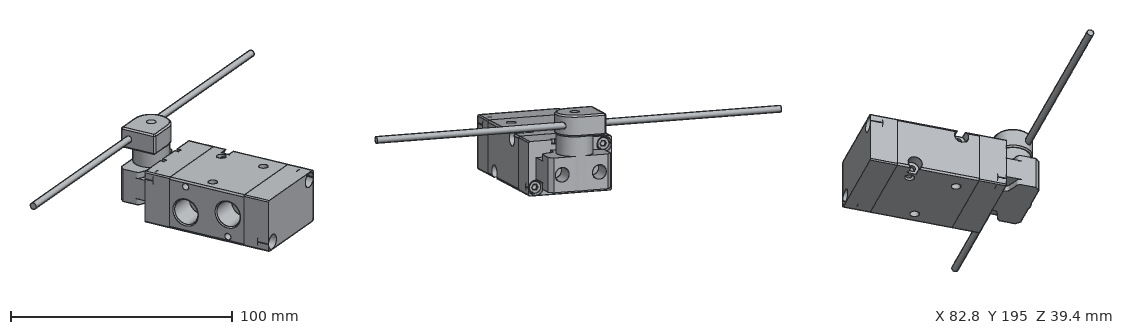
import cadquery as cq
import math


VALVE_WIDTH = 40.0
VALVE_HEIGHT = 25.2
VALVE_CENTER_Y = -1.4
CAP_LENGTH = 12.9
BLOCK_LENGTH = 38.8
EDGE_CHAMFER_WIDTH = 0.5
CAP_CHAMFER_HEIGHT = 0.5
BLOCK_CHAMFER_HEIGHT = 1.0

VALVE_LENGTH = 2 * CAP_LENGTH + BLOCK_LENGTH
BLOCK_END_X = CAP_LENGTH + BLOCK_LENGTH
BLOCK_CENTER_X = VALVE_LENGTH / 2
VALVE_FRONT_Y = VALVE_CENTER_Y - VALVE_WIDTH / 2
VALVE_BACK_Y = VALVE_CENTER_Y + VALVE_WIDTH / 2

HOLE_PITCH = 22.0
LEFT_HOLE_X = BLOCK_CENTER_X - HOLE_PITCH / 2
RIGHT_HOLE_X = BLOCK_CENTER_X + HOLE_PITCH / 2
PORT_RADIUS = 6.0
PORT_CHAMFER = 0.5
PORT_DEPTH = 13.6
LEFT_PORT_Z = 9.8
RIGHT_PORT_Z = 13.6
CROSS_HOLE_RADIUS = 1.5
CROSS_HOLE_INSET = 2.7
CROSS_COUNTERBORE_RADIUS = 3.3
CROSS_COUNTERBORE_DEPTH = 4.7
VERTICAL_HOLE_RADIUS = 2.1
PAIRED_HOLE_Y = 10.5
SINGLE_HOLE_Y = -15.8

COUNTERBORE_RADIUS = 3.5
COUNTERBORE_BREAKOUT = 0.002
SCREW_INSET_Z = 3.7
LEFT_COUNTERBORE_DEPTH = 4.0
RIGHT_COUNTERBORE_DEPTH = 5.8
SCREW_HEAD_RADIUS = 2.7
SCREW_HEAD_HEIGHT = 3.0
SCREW_SHANK_RADIUS = 1.5
SCREW_BLOCK_DEPTH = 4.9
SOCKET_WIDTH = 2.5
SOCKET_DEPTH = 1.2
SOCKET_CONE_ANGLE = 118
NOTCH_SIZE = 2.0
NOTCH_Y = 6.5

SCREW_INSET_Y = COUNTERBORE_RADIUS - COUNTERBORE_BREAKOUT

SPINDLE_X = -9.2
SPINDLE_RADIUS = 2.1
BARREL_RADIUS = 8.4
HEAD_WIDTH = 30.0
HEAD_HEIGHT = 16.0
HEAD_BOTTOM_Z = 4.5
HEAD_FACE_X = -17.2
HEAD_CORNER_CHAMFER = 2.0
HEAD_HOLE_RADIUS = 3.3
HEAD_HOLE_DEPTH = 9.8
HEAD_HOLE_Y = 9.0
STEP_DEPTH = 3.0
STEP_OUTER_X = -7.0
STEP_INNER_X = -4.0
STEP_INNER_Y = 8.0
STEP_FILLET = 2.0

HEAD_TOP_Z = HEAD_BOTTOM_Z + HEAD_HEIGHT
HEAD_MID_Z = HEAD_BOTTOM_Z + HEAD_HEIGHT / 2

OVERALL_HEIGHT = 39.4
CLAMP_HEIGHT = 10.0
CLAMP_RADIUS = 9.0
CLAMP_FRONT_Y = -12.0
CLAMP_CHAMFER = 0.8
ROD_RADIUS = 1.5
ROD_LENGTH = 195.0
ROD_OFFSET = 4.7

CLAMP_BOTTOM_Z = OVERALL_HEIGHT - CLAMP_HEIGHT
ROD_X = SPINDLE_X - ROD_OFFSET
ROD_Z = OVERALL_HEIGHT - CLAMP_HEIGHT / 2


def box(x_min, x_max, y_min, y_max, z_min, z_max):
    size = (x_max - x_min, y_max - y_min, z_max - z_min)
    return cq.Workplane("XY", origin=(x_min, y_min, z_min)).box(*size, centered=False)


def cylinder(start, direction, radius, length):
    axis = cq.Vector(*direction)
    return cq.Workplane(cq.Solid.makeCylinder(radius, length, cq.Vector(*start), axis))


def screw_positions(front_at_top):
    """(Y, Z) of the two diagonal screws in one end cap."""
    front_y = VALVE_FRONT_Y + SCREW_INSET_Y
    back_y = VALVE_BACK_Y - SCREW_INSET_Y
    low_z = SCREW_INSET_Z
    high_z = VALVE_HEIGHT - SCREW_INSET_Z
    if front_at_top:
        return [(front_y, high_z), (back_y, low_z)]
    return [(front_y, low_z), (back_y, high_z)]


def valve_slice(x_min, x_max, chamfer_height):
    """Length of the valve profile with its four long edges chamfered."""
    inner_y = VALVE_WIDTH / 2 - EDGE_CHAMFER_WIDTH
    outer_y = VALVE_WIDTH / 2
    top_z = VALVE_HEIGHT
    shoulder_z = VALVE_HEIGHT - chamfer_height
    half_outline = [(inner_y, 0), (outer_y, chamfer_height), (outer_y, shoulder_z), (inner_y, top_z)]
    mirrored_half = [(-y, z) for y, z in reversed(half_outline)]
    return (
        cq.Workplane("YZ", origin=(x_min, VALVE_CENTER_Y, 0))
        .polyline(half_outline + mirrored_half)
        .close()
        .extrude(x_max - x_min)
    )


def make_block():
    block = valve_slice(CAP_LENGTH, BLOCK_END_X, BLOCK_CHAMFER_HEIGHT)

    for x, z in [(LEFT_HOLE_X, LEFT_PORT_Z), (RIGHT_HOLE_X, RIGHT_PORT_Z)]:
        block = block.cut(cylinder((x, VALVE_FRONT_Y, z), (0, 1, 0), PORT_RADIUS, PORT_DEPTH))
        mouth = cq.Solid.makeCone(
            PORT_RADIUS + PORT_CHAMFER, PORT_RADIUS, PORT_CHAMFER,
            cq.Vector(x, VALVE_FRONT_Y, z), cq.Vector(0, 1, 0),
        )
        block = block.cut(cq.Workplane(mouth))

    cross_holes = [(LEFT_HOLE_X, VALVE_HEIGHT - CROSS_HOLE_INSET), (RIGHT_HOLE_X, CROSS_HOLE_INSET)]
    for x, z in cross_holes:
        block = block.cut(cylinder((x, VALVE_FRONT_Y, z), (0, 1, 0), CROSS_HOLE_RADIUS, VALVE_WIDTH))
        counterbore = cylinder(
            (x, VALVE_BACK_Y, z), (0, -1, 0), CROSS_COUNTERBORE_RADIUS, CROSS_COUNTERBORE_DEPTH
        )
        block = block.cut(counterbore)

    vertical_holes = [
        (LEFT_HOLE_X, PAIRED_HOLE_Y),
        (RIGHT_HOLE_X, PAIRED_HOLE_Y),
        (BLOCK_CENTER_X, SINGLE_HOLE_Y),
    ]
    for x, y in vertical_holes:
        block = block.cut(cylinder((x, y, 0), (0, 0, 1), VERTICAL_HOLE_RADIUS, VALVE_HEIGHT))

    for y, z in screw_positions(front_at_top=True):
        block = block.cut(cylinder((CAP_LENGTH, y, z), (1, 0, 0), SCREW_SHANK_RADIUS, SCREW_BLOCK_DEPTH))
    return block


def make_left_cap():
    cap = valve_slice(0, CAP_LENGTH, CAP_CHAMFER_HEIGHT)
    for y, z in screw_positions(front_at_top=True):
        cap = cap.cut(cylinder((0, y, z), (1, 0, 0), COUNTERBORE_RADIUS, LEFT_COUNTERBORE_DEPTH))
        cap = cap.cut(cylinder((0, y, z), (1, 0, 0), SCREW_SHANK_RADIUS, CAP_LENGTH))
    half = NOTCH_SIZE / 2
    for y in (-NOTCH_Y, NOTCH_Y):
        cap = cap.cut(box(0, NOTCH_SIZE, y - half, y + half, VALVE_HEIGHT - NOTCH_SIZE, VALVE_HEIGHT))
    return cap


def make_right_cap():
    cap = valve_slice(BLOCK_END_X, VALVE_LENGTH, CAP_CHAMFER_HEIGHT)
    for y, z in screw_positions(front_at_top=False):
        cap = cap.cut(
            cylinder((VALVE_LENGTH, y, z), (-1, 0, 0), COUNTERBORE_RADIUS, RIGHT_COUNTERBORE_DEPTH)
        )
    return cap


def make_screw(y, z):
    """Socket head screw seated on the floor of a left cap counterbore."""
    seat_x = LEFT_COUNTERBORE_DEPTH
    top_x = seat_x - SCREW_HEAD_HEIGHT
    shank_length = CAP_LENGTH - seat_x + SCREW_BLOCK_DEPTH
    screw = cylinder((top_x, y, z), (1, 0, 0), SCREW_HEAD_RADIUS, SCREW_HEAD_HEIGHT)
    screw = screw.union(cylinder((seat_x, y, z), (1, 0, 0), SCREW_SHANK_RADIUS, shank_length))

    corner_diameter = SOCKET_WIDTH / math.cos(math.radians(30))
    socket = cq.Workplane("YZ", origin=(top_x, y, z)).polygon(6, corner_diameter).extrude(SOCKET_DEPTH)
    cone_radius = SOCKET_WIDTH / 2
    cone_depth = cone_radius / math.tan(math.radians(SOCKET_CONE_ANGLE / 2))
    cone = cq.Solid.makeCone(
        cone_radius, 0, cone_depth, cq.Vector(top_x + SOCKET_DEPTH, y, z), cq.Vector(1, 0, 0)
    )
    return screw.cut(socket).cut(cq.Workplane(cone))


def head_step(side, bottom_z):
    """Cutter for the lowered rear corner on one side (+1 or -1); its sloping wall is filleted."""
    head_side_y = HEAD_WIDTH / 2
    clear_y = head_side_y + STEP_FILLET
    lead_in_x = STEP_OUTER_X - 2 * STEP_FILLET
    outline = [
        (0, STEP_INNER_Y),
        (STEP_INNER_X, STEP_INNER_Y),
        (STEP_OUTER_X, head_side_y),
        (lead_in_x, head_side_y),
        (lead_in_x, clear_y),
        (0, clear_y),
    ]
    points = [(x, side * y) for x, y in outline]
    cutter = cq.Workplane("XY", origin=(0, 0, bottom_z)).polyline(points).close().extrude(STEP_DEPTH)
    for x, y in points[1:3]:
        corner = cq.selectors.NearestToPointSelector((x, y, bottom_z + STEP_DEPTH / 2))
        cutter = cutter.edges("|Z").edges(corner).fillet(STEP_FILLET)
    return cutter


def make_head():
    half_width = HEAD_WIDTH / 2
    head = box(HEAD_FACE_X, 0, -half_width, half_width, HEAD_BOTTOM_Z, HEAD_TOP_Z)
    head = head.edges("|Z and <X").chamfer(HEAD_CORNER_CHAMFER)

    for side in (-1, 1):
        for step_bottom_z in (HEAD_BOTTOM_Z, HEAD_TOP_Z - STEP_DEPTH):
            head = head.cut(head_step(side, step_bottom_z))

    barrel = cylinder((SPINDLE_X, 0, HEAD_BOTTOM_Z), (0, 0, 1), BARREL_RADIUS, CLAMP_BOTTOM_Z - HEAD_BOTTOM_Z)
    spindle = cylinder((SPINDLE_X, 0, CLAMP_BOTTOM_Z), (0, 0, 1), SPINDLE_RADIUS, CLAMP_HEIGHT)
    head = head.union(barrel).union(spindle)

    for y in (-HEAD_HOLE_Y, HEAD_HOLE_Y):
        head = head.cut(cylinder((HEAD_FACE_X, y, HEAD_MID_Z), (1, 0, 0), HEAD_HOLE_RADIUS, HEAD_HOLE_DEPTH))
    return head


def make_clamp():
    """Block with a half-round back, bored for the spindle and the rod."""
    clamp = (
        cq.Workplane("XY", origin=(SPINDLE_X, 0, CLAMP_BOTTOM_Z))
        .moveTo(-CLAMP_RADIUS, CLAMP_FRONT_Y)
        .lineTo(CLAMP_RADIUS, CLAMP_FRONT_Y)
        .lineTo(CLAMP_RADIUS, 0)
        .threePointArc((0, CLAMP_RADIUS), (-CLAMP_RADIUS, 0))
        .close()
        .extrude(CLAMP_HEIGHT)
    )
    clamp = clamp.edges("|Z and <Y").chamfer(CLAMP_CHAMFER)
    clamp = clamp.faces("<Z or >Z").edges().chamfer(CLAMP_CHAMFER)
    clamp = clamp.cut(cylinder((SPINDLE_X, 0, CLAMP_BOTTOM_Z), (0, 0, 1), SPINDLE_RADIUS, CLAMP_HEIGHT))
    return clamp.cut(make_rod())


def make_rod():
    rod_section = cq.Workplane("XZ", origin=(ROD_X, 0, ROD_Z)).circle(ROD_RADIUS)
    return rod_section.extrude(ROD_LENGTH / 2, both=True)


block = make_block()
left_cap = make_left_cap()
right_cap = make_right_cap()
screws = [make_screw(y, z) for y, z in screw_positions(front_at_top=True)]
head = make_head()
clamp = make_clamp()
rod = make_rod()

result = cq.Compound.makeCompound(
    [
        block.val(),
        left_cap.val(),
        right_cap.val(),
        *[screw.val() for screw in screws],
        head.val(),
        clamp.val(),
        rod.val(),
    ]
)